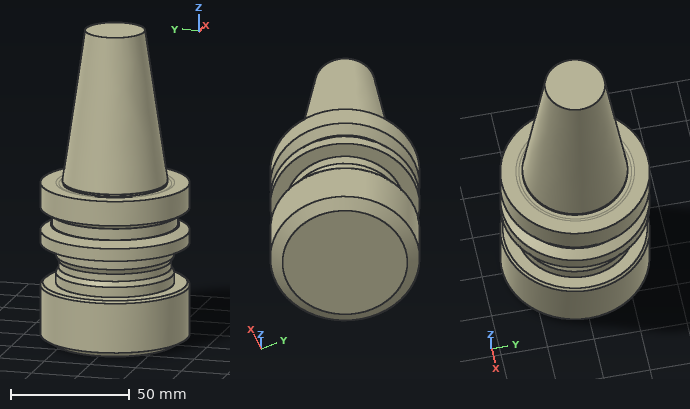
import cadquery as cq
import math

taper_length = 65.4
gauge_diameter = 44.45
taper_ratio = 7 / 24
relief_diameter = 43.85
gauge_land_height = 0.5

flange_diameter = 62.98
flange_top_z = -1.0
flange_bottom_z = -27.0
groove_center_z = -16.6
groove_diameter = 53.0
groove_floor_width = 5.0
groove_mouth_width = 10.0
groove_wall_angle = 30.0

recess_mouth_diameter = 50.0
recess_floor_diameter = 47.5
recess_depth = 0.35

body_diameter = 50.0
neck_diameter = 47.5
neck_upper_cone_top_z = -32.4
neck_top_z = -34.7
neck_bottom_z = -37.9
neck_lower_cone_bottom_z = -40.1

nut_diameter = 63.0
nut_top_z = -44.5
nut_bottom_z = -70.0
nut_top_chamfer = 1.0
nut_bottom_cone_height = 3.0
nut_bottom_cone_angle = 30.0


def revolve_profile(points):
    """Revolve (diameter, z) points about the Z axis, closing the profile on the axis."""
    top_z = points[0][1]
    bottom_z = points[-1][1]
    outline = [(0, top_z)]
    outline += [(diameter / 2, z) for diameter, z in points]
    outline += [(0, bottom_z)]
    return cq.Workplane("XZ").polyline(outline).close().revolve(360, (0, 0), (0, 1))


def cone_end_diameter(diameter, height, angle):
    """Small-end diameter of a cone of given height and wall angle from the horizontal."""
    return diameter - 2 * height / math.tan(math.radians(angle))


def taper_profile():
    return [
        (gauge_diameter - taper_ratio * taper_length, taper_length),
        (gauge_diameter, 0),
        (gauge_diameter, -gauge_land_height),
        (relief_diameter, -gauge_land_height),
    ]


def flange_profile():
    recess_floor_z = flange_top_z - recess_depth
    wall_height = (groove_mouth_width - groove_floor_width) / 2
    floor_edge_diameter = cone_end_diameter(flange_diameter, wall_height, groove_wall_angle)
    floor_top_z = groove_center_z + groove_floor_width / 2
    floor_bottom_z = groove_center_z - groove_floor_width / 2
    return [
        (relief_diameter, recess_floor_z),
        (recess_floor_diameter, recess_floor_z),
        (recess_mouth_diameter, flange_top_z),
        (flange_diameter, flange_top_z),
        (flange_diameter, groove_center_z + groove_mouth_width / 2),
        (floor_edge_diameter, floor_top_z),
        (groove_diameter, floor_top_z),
        (groove_diameter, floor_bottom_z),
        (floor_edge_diameter, floor_bottom_z),
        (flange_diameter, groove_center_z - groove_mouth_width / 2),
        (flange_diameter, flange_bottom_z),
    ]


def body_profile():
    return [
        (body_diameter, flange_bottom_z),
        (body_diameter, neck_upper_cone_top_z),
        (neck_diameter, neck_top_z),
        (neck_diameter, neck_bottom_z),
        (body_diameter, neck_lower_cone_bottom_z),
        (body_diameter, nut_top_z),
    ]


def nut_profile():
    face_diameter = cone_end_diameter(nut_diameter, nut_bottom_cone_height, nut_bottom_cone_angle)
    return [
        (nut_diameter - 2 * nut_top_chamfer, nut_top_z),
        (nut_diameter, nut_top_z - nut_top_chamfer),
        (nut_diameter, nut_bottom_z + nut_bottom_cone_height),
        (face_diameter, nut_bottom_z),
    ]


result = revolve_profile(taper_profile() + flange_profile() + body_profile() + nut_profile())